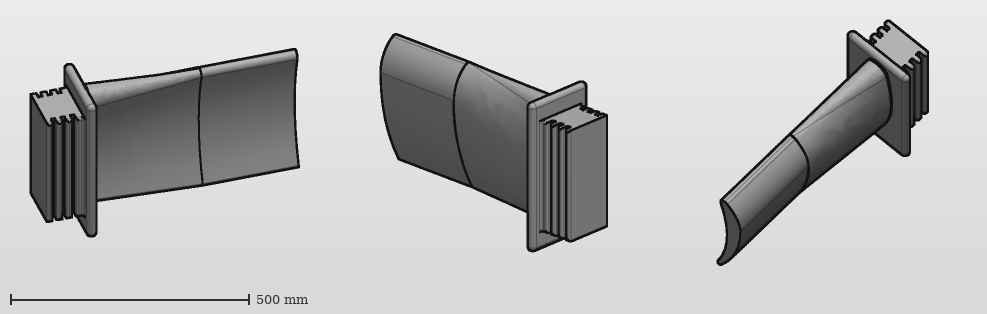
import cadquery as cq
import math

PLATE_WIDTH = 170.15
PLATE_HEIGHT = 340.3
PLATE_THICKNESS = 21.6

ROOT_WIDTH = 118.8
ROOT_HEIGHT = 254.8
ROOT_LENGTH = 81.2
ROOT_FILLET = 6.0

GROOVE_COUNT = 3
GROOVE_WIDTH = 8.5
GROOVE_DEPTH = 17.6
TOOTH_LENGTH = 12.9
TOOTH_ROUND = 5.6

STUB_LENGTH = 3.6
TRANSITION_LENGTH = 247.1
BLADE_LENGTH = 212.24

plate_start = ROOT_LENGTH
stub_start = plate_start + PLATE_THICKNESS
transition_start = stub_start + STUB_LENGTH
blade_start = transition_start + TRANSITION_LENGTH
groove_pitch = TOOTH_LENGTH + GROOVE_WIDTH

HOLLOW_RADIUS = 411.0
BLADE_SECTION = dict(
    nose=(5.7, 145.0),
    nose_radius=12.7,
    tail=(21.6, -128.5),
    tail_radius=5.4,
    widest=(-38.8, 84.5),
    hollow_radius=HOLLOW_RADIUS,
    seam_on_crown=True,
)
STUB_SECTION = dict(
    nose=(-6.5, 129.0),
    nose_radius=29.0,
    tail=(2.0, -128.5),
    tail_radius=6.5,
    widest=(-47.5, 21.5),
    hollow_radius=HOLLOW_RADIUS,
    seam_on_crown=False,
)


def toward(start, end, distance):
    """Point at the given distance from start on the line through end."""
    scale = distance / math.dist(start, end)
    return (start[0] + (end[0] - start[0]) * scale, start[1] + (end[1] - start[1]) * scale)


def middle(start, end):
    return ((start[0] + end[0]) / 2, (start[1] + end[1]) / 2)


def arc_middle(center, start, end):
    """Middle of the shorter arc from start to end about center."""
    return toward(center, middle(start, end), math.dist(center, start))


def convex_center(widest, end_center, end_radius):
    """Centre of the arc that runs along Z at the widest point and wraps tangentially round an end circle."""
    dx = widest[0] - end_center[0]
    dz = widest[1] - end_center[1]
    radius = (end_radius**2 - dx**2 - dz**2) / (2 * (dx + end_radius))
    return (widest[0] + radius, widest[1])


def hollow_center(nose, nose_radius, tail, tail_radius, hollow_radius):
    """Centre, on the +X side, of the hollow arc that touches the nose and tail circles from outside."""
    nose_reach = hollow_radius + nose_radius
    tail_reach = hollow_radius + tail_radius
    span = math.dist(nose, tail)
    along = (nose_reach**2 - tail_reach**2 + span**2) / (2 * span)
    aside = math.sqrt(nose_reach**2 - along**2)
    foot = toward(nose, tail, along)
    unit_x = (tail[0] - nose[0]) / span
    unit_z = (tail[1] - nose[1]) / span
    return (foot[0] - unit_z * aside, foot[1] + unit_x * aside)


def vector(point, y):
    return cq.Vector(point[0], y, point[1])


def arc_edge(points, y):
    return cq.Edge.makeThreePointArc(*[vector(point, y) for point in points])


def quarter_turn(start, end):
    """Direction square to the line from start to end, turned from +Z towards -X."""
    return (start[1] - end[1], end[0] - start[0])


def airfoil(y, nose, nose_radius, tail, tail_radius, widest, hollow_radius, seam_on_crown, smooth=False):
    """Closed airfoil outline at the given Y: convex on -X, hollow on +X, with round nose (+Z) and tail (-Z).

    The convex side is a chain of tangent arcs, or one spline through the same points if smooth.
    """
    front = convex_center(widest, nose, nose_radius)
    rear = convex_center(widest, tail, tail_radius)
    hollow = hollow_center(nose, nose_radius, tail, tail_radius, hollow_radius)

    crown = (nose[0], nose[1] + nose_radius)
    nose_convex = toward(nose, front, -nose_radius)
    tail_convex = toward(tail, rear, -tail_radius)
    nose_hollow = toward(nose, hollow, nose_radius)
    tail_hollow = toward(tail, hollow, tail_radius)

    convex_side = [
        nose_convex,
        arc_middle(front, nose_convex, widest),
        widest,
        arc_middle(rear, widest, tail_convex),
        tail_convex,
    ]
    nose_through = crown
    if seam_on_crown:
        convex_side = [crown, arc_middle(nose, crown, nose_convex)] + convex_side
        nose_through = arc_middle(nose, nose_hollow, crown)
    seam = convex_side[0]

    if smooth:
        ends = ((nose, seam), (tail, tail_convex))
        tangents = [vector(quarter_turn(center, end), y=0).normalized() for center, end in ends]
        points = [vector(point, y) for point in convex_side]
        edges = [cq.Edge.makeSpline(points, tangents=tangents, scale=False)]
    else:
        edges = [arc_edge(convex_side[i : i + 3], y) for i in range(0, len(convex_side) - 1, 2)]

    edges.append(arc_edge((tail_convex, arc_middle(tail, tail_convex, tail_hollow), tail_hollow), y))
    edges.append(arc_edge((tail_hollow, arc_middle(hollow, tail_hollow, nose_hollow), nose_hollow), y))
    edges.append(arc_edge((nose_hollow, nose_through, seam), y))
    return cq.Wire.assembleEdges(edges)


def span_solid(first, second):
    """Solid ruled between two airfoil outlines."""
    return cq.Solid.makeLoft([first, second], True)


def block(width, height, y_start, y_end):
    """Block centred on X and Z between two Y positions."""
    return cq.Workplane("XY").box(width, y_end - y_start, height).translate((0, (y_start + y_end) / 2, 0))


def make_platform():
    """Flat platform whose rim is a full round, with ball corners."""
    radius = PLATE_THICKNESS / 2
    flat_width = PLATE_WIDTH - PLATE_THICKNESS
    flat_height = PLATE_HEIGHT - PLATE_THICKNESS
    center_y = plate_start + radius
    platform = block(flat_width, flat_height, plate_start, stub_start)
    for side in (-1, 1):
        upright = cq.Workplane("XY").circle(radius).extrude(flat_height)
        crossbar = cq.Workplane("YZ").circle(radius).extrude(flat_width)
        platform = platform.union(upright.translate((side * flat_width / 2, center_y, -flat_height / 2)))
        platform = platform.union(crossbar.translate((-flat_width / 2, center_y, side * flat_height / 2)))
        for level in (-1, 1):
            corner = (side * flat_width / 2, center_y, level * flat_height / 2)
            platform = platform.union(cq.Workplane("XY").sphere(radius).translate(corner))
    return platform


def make_flare():
    """Concave fillet between the +X side of the root and the platform, carried round the rounded corners."""
    side = ROOT_WIDTH / 2
    corner_x = side - TOOTH_ROUND
    corner_z = ROOT_HEIGHT / 2 - TOOTH_ROUND
    sag = ROOT_FILLET * (1 - math.sqrt(0.5))
    flare_start = plate_start - ROOT_FILLET
    outline = (
        cq.Sketch()
        .segment((corner_x, flare_start), (side, flare_start))
        .arc((side, flare_start), (side + sag, plate_start - sag), (side + ROOT_FILLET, plate_start))
        .segment((corner_x, plate_start))
        .close()
        .assemble()
    )
    profile = cq.Workplane("XY", origin=(0, 0, -corner_z)).placeSketch(outline)
    straight = profile.extrude(2 * corner_z)
    lower_corner = profile.revolve(90, (corner_x, 0), (corner_x, 1))
    upper_corner = lower_corner.mirror("XY")
    flare = straight.union(lower_corner).union(upper_corner)
    return flare.intersect(block(PLATE_WIDTH, ROOT_HEIGHT, 0, plate_start))


def make_root():
    """Platform with rounded rim, and the toothed root in front of it, as one body."""
    root = block(ROOT_WIDTH - 2 * GROOVE_DEPTH, ROOT_HEIGHT, 0, plate_start)
    for index in range(GROOVE_COUNT):
        start = index * groove_pitch
        tooth = block(ROOT_WIDTH, ROOT_HEIGHT, start, start + TOOTH_LENGTH)
        root = root.union(tooth.faces("<X or >X").edges().fillet(TOOTH_ROUND))

    collar = block(ROOT_WIDTH, ROOT_HEIGHT, GROOVE_COUNT * groove_pitch, plate_start + PLATE_THICKNESS / 2)
    root = root.union(collar.faces("<X or >X").edges("not(>Y)").fillet(TOOTH_ROUND))

    flare = make_flare()
    return root.union(make_platform()).union(flare).union(flare.mirror("YZ"))


root = make_root()
stub = span_solid(
    airfoil(stub_start, **STUB_SECTION),
    airfoil(transition_start, **STUB_SECTION),
)
transition = span_solid(
    airfoil(transition_start, **STUB_SECTION, smooth=True),
    airfoil(blade_start, **BLADE_SECTION, smooth=True),
)
blade = span_solid(
    airfoil(blade_start, **BLADE_SECTION),
    airfoil(blade_start + BLADE_LENGTH, **BLADE_SECTION),
)

result = cq.Compound.makeCompound([root.val(), stub, transition, blade])